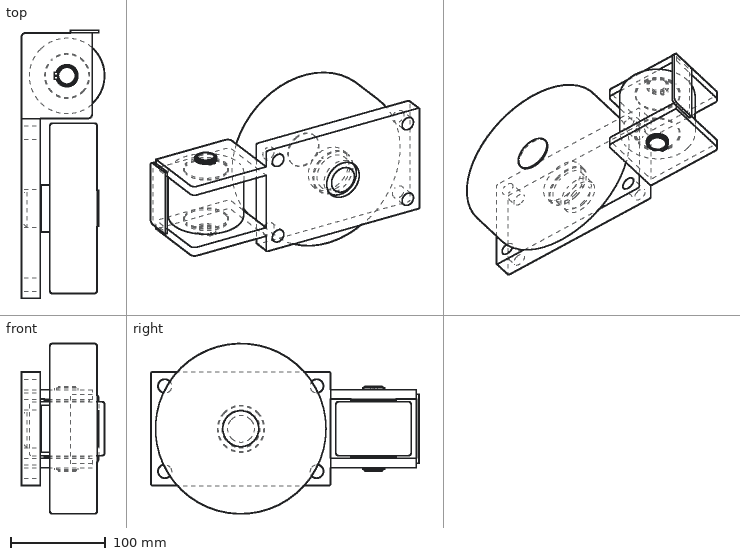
import cadquery as cq


PLATE_THICKNESS = 20.0
PLATE_LENGTH = 189.5
PLATE_HEIGHT = 120.0
PLATE_CORNER = 2.0
HOLE_DIAMETER = 14.2
HOLE_SPACING_Y = 160.2
HOLE_SPACING_Z = 90.0

ARM_LENGTH = 90.5
ARM_WIDTH = 75.0
ARM_THICKNESS = 10.2
ARM_INNER_Z = 31.0
ARM_CORNER = 5.0
ARM_START_Y = PLATE_LENGTH / 2
ARM_END_Y = ARM_START_Y + ARM_LENGTH
ARM_OUTER_Z = ARM_INNER_Z + ARM_THICKNESS

STRIP_THICKNESS = 2.8
STRIP_START_X = 51.8
STRIP_WIDTH = 30.0
STRIP_HEIGHT = 73.0
STRIP_CORNER = 5.0

ROLLER_X = 48.0
ROLLER_Y = 140.0
ROLLER_RADIUS = 40.0
ROLLER_WIDTH = 57.2
ROLLER_ROUND = 3.0
SPACER_RADIUS = 23.8
SPACER_THICKNESS = ARM_INNER_Z - ROLLER_WIDTH / 2
SPACER_CHAMFER = 0.8
PIN_RADIUS = 10.0
PIN_OVERHANG = 3.5
PIN_CHAMFER = 1.0

RING_RADIUS = 11.5
RING_THICKNESS = 1.7
LUG_REACH = 13.3
LUG_WIDTH = 3.0
LUG_GAP = 1.0

WHEEL_RADIUS = 90.0
WHEEL_START_X = 30.0
WHEEL_END_X = 80.0
WHEEL_ROUND = 3.0
HUB_RADIUS = 25.0
HUB_CHAMFER = 0.8
STUD_RADIUS = 20.0
STUD_CHAMFER = 6.0
CAP_RADIUS = 19.0
CAP_THICKNESS = 1.5


def x_cylinder(radius, start_x, end_x):
    """Cylinder about the X axis."""
    return cq.Workplane("YZ").workplane(offset=start_x).circle(radius).extrude(end_x - start_x)


def roller_cylinder(radius, height):
    """Cylinder about the roller axis, centred on Z = 0."""
    return cq.Workplane("XY").center(ROLLER_X, ROLLER_Y).circle(radius).extrude(height / 2, both=True)


def make_plate():
    """Mounting plate with four bolt holes and the bore for the stud."""
    plate = (
        cq.Workplane("YZ")
        .rect(PLATE_LENGTH, PLATE_HEIGHT)
        .extrude(PLATE_THICKNESS)
        .edges("|X")
        .fillet(PLATE_CORNER)
    )
    bolt_holes = (
        cq.Workplane("YZ")
        .rect(HOLE_SPACING_Y, HOLE_SPACING_Z, forConstruction=True)
        .vertices()
        .circle(HOLE_DIAMETER / 2)
        .extrude(PLATE_THICKNESS)
    )
    return plate.cut(bolt_holes).cut(x_cylinder(STUD_RADIUS, 0, PLATE_THICKNESS))


def make_upper_arm():
    """Upper fork arm rounded at two opposite corners."""
    arm = cq.Workplane("XY").box(ARM_WIDTH, ARM_LENGTH, ARM_THICKNESS, centered=False)
    arm = arm.edges("|Z and <X and >Y").fillet(ARM_CORNER)
    arm = arm.edges("|Z and >X and <Y").fillet(ARM_CORNER)
    return arm.translate((0, ARM_START_Y, ARM_INNER_Z))


def make_strip():
    """Strip across the arm ends, rounded at its two free corners."""
    return (
        cq.Workplane("XY")
        .box(STRIP_WIDTH, STRIP_THICKNESS, STRIP_HEIGHT, centered=(False, False, True))
        .edges("|Y and >X")
        .fillet(STRIP_CORNER)
        .translate((STRIP_START_X, ARM_END_Y, 0))
    )


def make_roller():
    """Guide roller on its pin."""
    roller = roller_cylinder(ROLLER_RADIUS, ROLLER_WIDTH).edges().fillet(ROLLER_ROUND)
    pin = roller_cylinder(PIN_RADIUS, 2 * (ARM_OUTER_Z + PIN_OVERHANG)).faces("<Z or >Z").chamfer(PIN_CHAMFER)
    return roller.union(pin)


def make_upper_spacer():
    """Spacer disc between the roller and the upper arm, chamfered at the roller."""
    return (
        cq.Workplane("XY")
        .circle(SPACER_RADIUS)
        .extrude(SPACER_THICKNESS)
        .faces("<Z")
        .chamfer(SPACER_CHAMFER)
        .translate((ROLLER_X, ROLLER_Y, ROLLER_WIDTH / 2))
    )


def make_lug_strip(width):
    """Flat strip from the ring centre out to the lug tips, as thick as the ring."""
    strip = cq.Workplane("XY").box(LUG_REACH, width, RING_THICKNESS, centered=(False, True, False))
    return strip.translate((-LUG_REACH, 0, 0))


def make_upper_retaining_ring():
    """Retaining ring on the upper arm, around the pin, slit between two lugs on its -X side."""
    lugs = make_lug_strip(2 * LUG_WIDTH + LUG_GAP)
    slit = make_lug_strip(LUG_GAP)
    pin_space = cq.Workplane("XY").circle(PIN_RADIUS).extrude(RING_THICKNESS)
    ring = (
        cq.Workplane("XY")
        .circle(RING_RADIUS)
        .extrude(RING_THICKNESS)
        .union(lugs)
        .cut(slit)
        .cut(pin_space)
    )
    return ring.translate((ROLLER_X, ROLLER_Y, ARM_OUTER_Z))


def make_frame():
    """Plate, fork, strip and guide roller with its fittings as one solid."""
    frame = make_plate().union(make_strip()).union(make_roller())
    for upper_part in (make_upper_arm(), make_upper_spacer(), make_upper_retaining_ring()):
        frame = frame.union(upper_part).union(upper_part.mirror("XY"))
    return frame


def make_wheel():
    """Wheel with hub, end cap and a chamfered stud that fills the plate bore."""
    tread = x_cylinder(WHEEL_RADIUS, WHEEL_START_X, WHEEL_END_X).edges().fillet(WHEEL_ROUND)
    hub = x_cylinder(HUB_RADIUS, PLATE_THICKNESS, WHEEL_START_X).faces("<X").chamfer(HUB_CHAMFER)
    stud = x_cylinder(STUD_RADIUS, 0, PLATE_THICKNESS).faces("<X").chamfer(STUD_CHAMFER)
    cap = x_cylinder(CAP_RADIUS, WHEEL_END_X, WHEEL_END_X + CAP_THICKNESS)
    return tread.union(hub).union(stud).union(cap)


frame = make_frame()
wheel = make_wheel()

result = cq.Compound.makeCompound([frame.solids().val(), wheel.solids().val()])